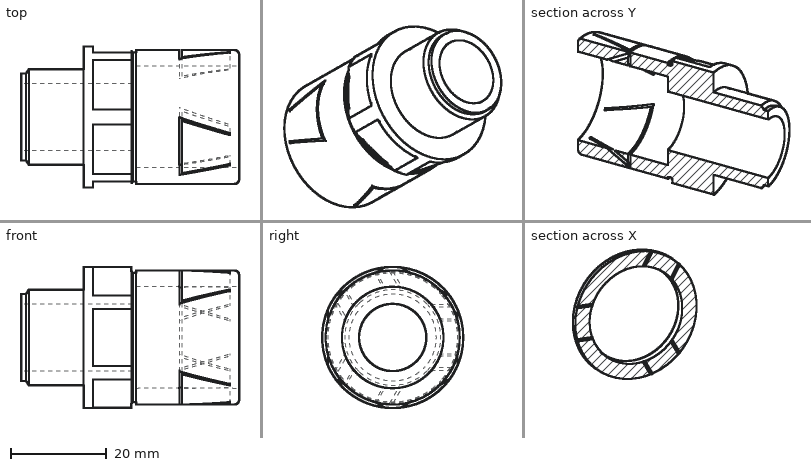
import cadquery as cq
import math

total_length = 45.5
tip_length = 1.0
lead_in_end = 1.6
flange_start = 13.0
hex_start = 15.0
hex_end = 23.0
neck_start = 23.3
neck_end = 23.7
nut_start = 24.0
slot_start = 33.0
slot_width = 0.5
slot_tip = 43.6

bore_diameter = 14.0
tip_diameter = 18.2
thread_diameter = 20.0
flange_diameter = 29.5
hex_across_flats = 27.0
hex_sides = 6
neck_diameter = 27.0
neck_hex_end_diameter = 27.6
neck_nut_end_diameter = 27.1
nut_diameter = 28.0
socket_diameter = 21.2
nut_edge_radius = 1.0

tongue_count = 3
tongue_base_half_angle = 29.6
tongue_tip_half_angle = 16.0
side_slot_base_width = 0.6
side_slot_tip_width = 0.4

nut_radius = nut_diameter / 2
base_half_width = nut_radius * math.sin(math.radians(tongue_base_half_angle))
tip_half_width = nut_radius * math.sin(math.radians(tongue_tip_half_angle))


def cylinder(diameter, start, end):
    """Round bar along X between two stations."""
    return cq.Workplane("YZ", origin=(start, 0, 0)).circle(diameter / 2).extrude(end - start)


def threaded_spigot():
    """Thread-size spigot with a reduced tip and a conical lead-in."""
    outline = [
        (0, 0),
        (0, tip_diameter / 2),
        (tip_length, tip_diameter / 2),
        (lead_in_end, thread_diameter / 2),
        (flange_start, thread_diameter / 2),
        (flange_start, 0),
    ]
    return cq.Workplane("XY").polyline(outline).close().revolve(360, (0, 0, 0), (1, 0, 0))


def hex_body():
    """Round flange followed by a hexagon whose corners are turned to the flange diameter."""
    flange = cylinder(flange_diameter, flange_start, hex_start)
    half_side_angle = 180 / hex_sides
    corner_diameter = hex_across_flats / math.cos(math.radians(half_side_angle))
    hexagon = (
        cq.Workplane("YZ", origin=(hex_start, 0, 0))
        .polygon(hex_sides, corner_diameter)
        .extrude(hex_end - hex_start)
        .rotate((0, 0, 0), (1, 0, 0), half_side_angle)
    )
    return flange.union(hexagon.intersect(cylinder(flange_diameter, hex_start, hex_end)))


def neck():
    """Short collar between hexagon and nut, flaring slightly at both ends."""
    outline = [
        (hex_end, 0),
        (hex_end, neck_hex_end_diameter / 2),
        (neck_start, neck_diameter / 2),
        (neck_end, neck_diameter / 2),
        (nut_start, neck_nut_end_diameter / 2),
        (nut_start, 0),
    ]
    return cq.Workplane("XY").polyline(outline).close().revolve(360, (0, 0, 0), (1, 0, 0))


def nut():
    """Clamping nut with a rounded outer end."""
    return cylinder(nut_diameter, nut_start, total_length).faces(">X").edges().fillet(nut_edge_radius)


def tongue_slots():
    """Cross slot and two slanted side slots around one tongue on the +Y side."""
    slot_end = slot_start + slot_width
    outline = [
        (slot_start, -base_half_width),
        (slot_start, base_half_width),
        (slot_tip, tip_half_width),
        (slot_tip, tip_half_width - side_slot_tip_width),
        (slot_end, base_half_width - side_slot_base_width),
        (slot_end, side_slot_base_width - base_half_width),
        (slot_tip, side_slot_tip_width - tip_half_width),
        (slot_tip, -tip_half_width),
    ]
    return cq.Workplane("XZ").polyline(outline).close().extrude(-nut_radius)


result = threaded_spigot().union(hex_body()).union(neck()).union(nut())
result = result.cut(cylinder(bore_diameter, 0, total_length))
result = result.cut(cylinder(socket_diameter, nut_start, total_length))
for index in range(tongue_count):
    turn = index * 360 / tongue_count
    result = result.cut(tongue_slots().rotate((0, 0, 0), (1, 0, 0), turn))